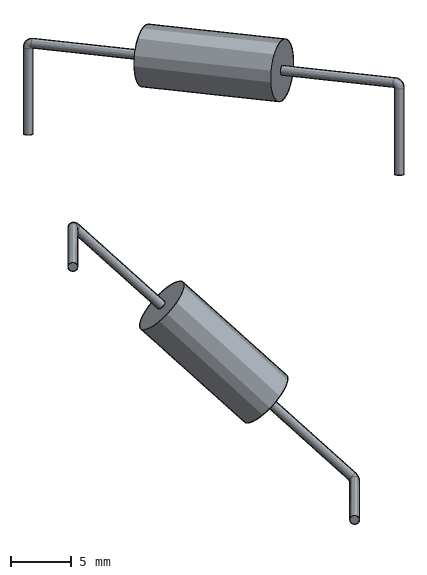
import cadquery as cq

overall_length = 33.6
overall_height = 10.4
body_diameter = 5.2
body_length = 12.1
lead_diameter = 0.8

body_end_x = body_length / 2
lead_radius = lead_diameter / 2
bend_radius = lead_radius
leg_x = overall_length / 2 - lead_radius
bend_start_x = leg_x - bend_radius
lead_tip_z = body_diameter / 2 - overall_height


def make_body():
    """Plain cylinder, centred on the origin along X."""
    return (
        cq.Workplane("YZ", origin=(-body_end_x, 0, 0))
        .circle(body_diameter / 2)
        .extrude(body_length)
    )


def make_lead(side):
    """Round wire from one end face of the body, bent down; side is -1 or +1 along X."""
    centreline = (
        cq.Workplane("XZ")
        .moveTo(side * body_end_x, 0)
        .lineTo(side * bend_start_x, 0)
        .radiusArc((side * leg_x, -bend_radius), side * bend_radius)
        .lineTo(side * leg_x, lead_tip_z)
    )
    return (
        cq.Workplane("YZ", origin=(side * body_end_x, 0, 0))
        .circle(lead_radius)
        .sweep(centreline)
    )


body = make_body()
leads = [make_lead(side) for side in (-1, 1)]

result = cq.Compound.makeCompound([body.val(), *(lead.val() for lead in leads)])